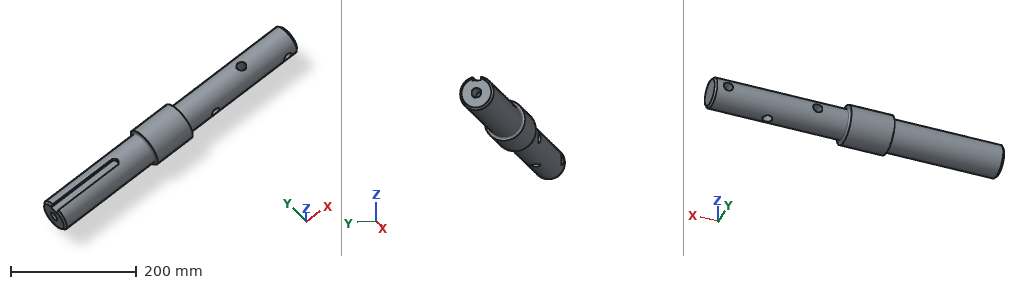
import cadquery as cq
import math

total_length = 493.0
drive_radius = 55.0 / 2
collar_radius = 66.5 / 2
output_radius = 51.5 / 2
collar_start = 190.5
collar_end = 264.0
end_chamfer = 3.5
drive_fillet = 1.5
output_fillet = 3.0

key_width = 14.0
key_length = 134.0
key_floor = 20.0

pin_diameter = 16.0
horizontal_pin_places = (318.5, 471.0)
vertical_pin_place = 395.0

bore_diameter = 16.0
bore_depth = 29.5
drill_point_angle = 118.0


def shaft_body():
    """Revolve the stepped half profile about the X axis."""
    diagonal = math.sqrt(0.5)
    drive_mid = (
        collar_start - drive_fillet * (1 - diagonal),
        drive_radius + drive_fillet * (1 - diagonal),
    )
    output_mid = (
        collar_end + output_fillet * (1 - diagonal),
        output_radius + output_fillet * (1 - diagonal),
    )
    return (
        cq.Workplane("XY")
        .moveTo(0, 0)
        .lineTo(0, drive_radius - end_chamfer)
        .lineTo(end_chamfer, drive_radius)
        .lineTo(collar_start - drive_fillet, drive_radius)
        .threePointArc(drive_mid, (collar_start, drive_radius + drive_fillet))
        .lineTo(collar_start, collar_radius)
        .lineTo(collar_end, collar_radius)
        .lineTo(collar_end, output_radius + output_fillet)
        .threePointArc(output_mid, (collar_end + output_fillet, output_radius))
        .lineTo(total_length - end_chamfer, output_radius)
        .lineTo(total_length, output_radius - end_chamfer)
        .lineTo(total_length, 0)
        .close()
        .revolve(360, (0, 0, 0), (1, 0, 0))
    )


def keyway():
    """Flat-floored slot on the +Z side with a round inner end."""
    half_width = key_width / 2
    straight_end = key_length - half_width
    return (
        cq.Workplane("XY", origin=(0, 0, key_floor))
        .moveTo(0, -half_width)
        .lineTo(straight_end, -half_width)
        .threePointArc((key_length, 0), (straight_end, half_width))
        .lineTo(0, half_width)
        .close()
        .extrude(collar_radius - key_floor)
    )


def cross_hole(plane, x):
    """Hole right through the shaft, along the normal of the plane."""
    return (
        cq.Workplane(plane)
        .center(x, 0)
        .circle(pin_diameter / 2)
        .extrude(collar_radius, both=True)
    )


def end_bore():
    """Drilled blind hole with a conical bottom."""
    radius = bore_diameter / 2
    point_depth = radius / math.tan(math.radians(drill_point_angle / 2))
    return (
        cq.Workplane("XY")
        .moveTo(0, 0)
        .lineTo(0, radius)
        .lineTo(bore_depth, radius)
        .lineTo(bore_depth + point_depth, 0)
        .close()
        .revolve(360, (0, 0, 0), (1, 0, 0))
    )


shaft = shaft_body().cut(keyway()).cut(end_bore())
for place in horizontal_pin_places:
    shaft = shaft.cut(cross_hole("XZ", place))
shaft = shaft.cut(cross_hole("XY", vertical_pin_place))

result = shaft.translate((-total_length / 2, 0, 0))